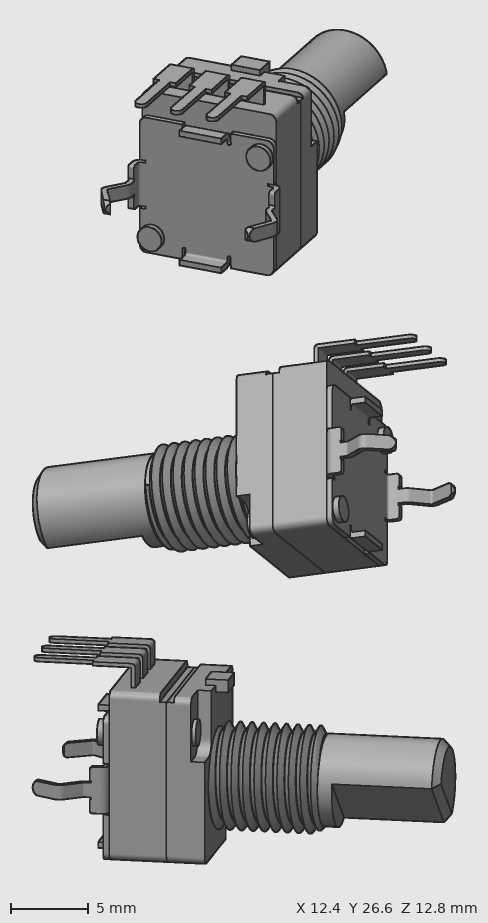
import cadquery as cq


overall_length = 26.6
overall_height = 12.8
clearance = 0.27

case_width = 9.5
case_bottom = -4.85
case_corner = 0.48
split_y = -2.5
case_back = -6.25
front_top = 6.17
rear_top = 6.35
groove_floor = 5.85
groove_front = -2.02
groove_back = -2.95

sheet = 0.4
plate_size = case_width
plate_z = case_bottom + plate_size / 2
plate_back = case_back - sheet
bend_radius = 0.36
slot_offset = 1.6
slot_width = 0.25
slot_depth = 0.82
lug_width = 2 * slot_offset - slot_width
lug_end = -7.6
rivet_radius = 0.85
rivet_height = 0.43
rivet_x = 3.85
rivet_dz = 3.56

leg_width = 3.09
leg_shoulder = -7.45
leg_shoulder_round = 0.19
leg_relief_radius = 0.08
leg_outer_x = 5.2
leg_x = leg_outer_x - sheet / 2
leg_knee_y = -7.93
leg_elbow_x = 6.06
leg_elbow_y = -9.28
leg_tip_x = 4.95
leg_tip_y = -11.15
leg_strip = 0.95
leg_end = -11.2
leg_round = 0.35
leg_notch_offset = 1.62
leg_notch_width = 0.15
leg_notch_depth = 0.4

pin_pitch = 2.53
pin_count = 3
pin_sheet = 0.27
pin_top = case_bottom + overall_height
pin_stem_y = -4.95
pin_bend = 0.15
pin_shoulder = -7.6
pin_end = -11.57
pin_wide = 1.6
pin_narrow = 0.8

key_width = 2.02
key_front = 0.82
key_back = -0.66
key_bottom = 5.75
key_top = 6.57
recess_depth = 0.9
recess_x = 2.45
recess_z = -2.18
recess_round = 1.0
stake_radius = 0.88
stake_height = 0.27
stake_x = 3.65
stake_dz = 3.75

bushing_length = 7.05
thread_crest = 3.5
thread_root = 2.95
thread_root_sink = 0.03
thread_base = 0.75
crest_run = 6.0
crest_turns = 8
thread_pitch = crest_run / crest_turns
crest_y = 0.37
thread_spare = 2
bushing_end_radius = 3.03

shaft_radius = 3.0
shaft_tip = pin_end + overall_length
shaft_chamfer = 0.5
flat_distance = 1.44
flat_angle = -52
flat_start = 7.98
journal_radius = 2.0


def box(x0, x1, y0, y1, z0, z1):
    return cq.Workplane("XY").box(x1 - x0, y1 - y0, z1 - z0, centered=False).translate((x0, y0, z0))


def rounded_block(y0, y1, z0, z1):
    """A block of the case's width with its four edges along Y rounded."""
    half = case_width / 2
    return box(-half, half, y0, y1, z0, z1).edges("|Y").fillet(case_corner)


def cylinder_y(radius, y0, y1, x=0, z=0):
    return cq.Workplane(cq.Solid.makeCylinder(radius, y1 - y0, cq.Vector(x, y0, z), cq.Vector(0, 1, 0)))


def strip_along(points, radius, thickness, width):
    """Sheet-metal strip bent along the middle-line points, which lie in a plane across its width."""
    path = cq.Wire.makePolygon([cq.Vector(*p) for p in points]).fillet(radius)
    start = cq.Vector(*points[0])
    along = cq.Vector(*points[1]) - start
    across = along.cross(cq.Vector(*points[2]) - start)
    section = cq.Workplane(cq.Plane(start, across, along)).rect(width, thickness)
    return section.sweep(cq.Workplane(path))


def make_thread():
    """Right-handed V ridge, bounded by helical faces between its two root edges and its crest."""
    length = (crest_turns + thread_spare + 1) * thread_pitch
    root = thread_root - thread_root_sink
    lower = cq.Wire.makeHelix(thread_pitch, length, root)
    crest = cq.Wire.makeHelix(thread_pitch, length, thread_crest)
    crest = crest.translate(cq.Vector(0, 0, thread_base / 2))
    upper = lower.translate(cq.Vector(0, 0, thread_base))
    loops = [(lower, crest), (crest, upper), (upper, lower)]
    faces = [cq.Face.makeRuledSurface(first, second) for first, second in loops]
    for z in (0, length):
        corners = [(root, 0, z), (thread_crest, 0, z + thread_base / 2), (root, 0, z + thread_base)]
        outline = cq.Wire.makePolygon([cq.Vector(*c) for c in corners], close=True)
        faces.append(cq.Face.makeFromWires(outline))
    ridge = cq.Workplane(cq.Solid.makeSolid(cq.Shell.makeShell(faces)))
    ridge = ridge.rotate((0, 0, 0), (0, 0, 1), 180).rotate((0, 0, 0), (1, 0, 0), -90)
    return ridge.translate((0, crest_y - thread_spare * thread_pitch - thread_base / 2, 0))


def make_bushing():
    """Solid threaded bushing with a chamfered end."""
    spare = (thread_spare + 1) * thread_pitch
    core = cylinder_y(thread_root, -spare, bushing_length + spare)
    envelope_radius = thread_crest + clearance
    envelope = cylinder_y(envelope_radius, 0, bushing_length)
    envelope = envelope.faces(">Y").chamfer(envelope_radius - bushing_end_radius)
    return core.union(make_thread()).intersect(envelope)


def corner_recess():
    """Recess at the (+X, +Z) corner of the mounting face, with a staked stud end left in it."""
    top_z = 2 * plate_z - recess_z
    far = case_width
    pocket = box(recess_x, far, -recess_depth, clearance, top_z, top_z + far)
    pocket = pocket.edges("|Y and <X and <Z").fillet(recess_round)
    stud = cylinder_y(stake_radius, -recess_depth, stake_height - recess_depth, stake_x, plate_z + stake_dz)
    return pocket.cut(stud)


def make_front_housing():
    """Front half of the case with its locating key, corner recesses and bored bushing."""
    body = rounded_block(split_y, 0, case_bottom, front_top)
    body = body.cut(box(-case_width, case_width, split_y, groove_front, groove_floor, front_top))
    for angle in (0, 180):
        body = body.cut(corner_recess().rotate((0, 0, plate_z), (0, 1, plate_z), angle))
    body = body.union(box(-key_width / 2, key_width / 2, key_back, key_front, key_bottom, key_top))
    body = body.union(make_bushing())
    return body.cut(cylinder_y(journal_radius, split_y, bushing_length))


def make_shaft():
    """D-shaped grip on a thinner journal that fills the bore of the front housing."""
    grip = cylinder_y(shaft_radius, bushing_length, shaft_tip)
    far = 2 * shaft_radius
    flat = box(flat_distance, far, flat_start, shaft_tip + clearance, -far, far)
    flat = flat.rotate((0, 0, 0), (0, 1, 0), -flat_angle)
    grip = grip.cut(flat).faces(">Y").chamfer(shaft_chamfer)
    return grip.union(cylinder_y(journal_radius, split_y, bushing_length))


def make_terminal(x):
    """L-shaped pin, wide up to its shoulder and narrow with a round end beyond it."""
    arm_z = pin_top - pin_sheet / 2
    points = [(x, pin_stem_y, groove_floor), (x, pin_stem_y, arm_z), (x, pin_end, arm_z)]
    strip = strip_along(points, pin_bend, pin_sheet, pin_wide)
    half = pin_narrow / 2
    blank = (
        cq.Workplane("XY")
        .moveTo(x - half, pin_shoulder)
        .lineTo(x - half, pin_end + half)
        .threePointArc((x, pin_end), (x + half, pin_end + half))
        .lineTo(x + half, pin_shoulder)
        .lineTo(x + pin_wide, pin_shoulder)
        .lineTo(x + pin_wide, 0)
        .lineTo(x - pin_wide, 0)
        .lineTo(x - pin_wide, pin_shoulder)
        .close()
        .extrude(2 * pin_top)
    )
    return strip.intersect(blank)


def make_rear_body():
    body = rounded_block(case_back, split_y, case_bottom, rear_top)
    body = body.cut(box(-case_width, case_width, groove_back, split_y, groove_floor, rear_top))
    for i in range(pin_count):
        body = body.union(make_terminal((i - (pin_count - 1) / 2) * pin_pitch))
    return body


def plate_slot():
    """Slot with a round end, cut from the top edge of the plate, at X = 0 and plate centre Z = 0."""
    radius = slot_width / 2
    top = plate_size / 2
    slot = box(-radius, radius, plate_back, case_back, top - slot_depth + radius, top)
    return slot.union(cylinder_y(radius, plate_back, case_back, 0, top - slot_depth + radius))


def make_lug():
    """Lug bent back from the top edge of the plate, with plate centre at Z = 0."""
    mid_y = (case_back + plate_back) / 2
    mid_z = (plate_size - sheet) / 2
    points = [(0, mid_y, plate_size / 2 - slot_depth), (0, mid_y, mid_z), (0, lug_end, mid_z)]
    return strip_along(points, bend_radius, sheet, lug_width)


def make_leg():
    """Snap-in leg on the +X side of the plate, with plate centre at Z = 0."""
    mid_y = (case_back + plate_back) / 2
    points = [
        (plate_size / 2 - leg_notch_depth, mid_y, 0),
        (leg_x, mid_y, 0),
        (leg_x, leg_knee_y, 0),
        (leg_elbow_x, leg_elbow_y, 0),
        (leg_tip_x, leg_tip_y, 0),
    ]
    strip = strip_along(points, bend_radius, sheet, leg_width)
    half = leg_strip / 2
    shoulder = box(0, leg_outer_x, leg_shoulder, case_back, -leg_width / 2, leg_width / 2)
    shoulder = shoulder.edges("|X and <Y").fillet(leg_shoulder_round)
    tongue = (
        cq.Workplane("YZ")
        .moveTo(case_back, -half)
        .lineTo(leg_end + leg_round, -half)
        .threePointArc((leg_end, 0), (leg_end + leg_round, half))
        .lineTo(case_back, half)
        .close()
        .extrude(2 * leg_outer_x)
    )
    blank = shoulder.union(tongue)
    for z in (-half - leg_relief_radius, half + leg_relief_radius):
        relief = cq.Workplane("YZ").center(leg_shoulder, z).circle(leg_relief_radius).extrude(leg_outer_x)
        blank = blank.cut(relief)
    return strip.intersect(blank)


def make_cover_plate():
    half = plate_size / 2
    y_axis = ((0, 0, 0), (0, 1, 0))
    plate = rounded_block(plate_back, case_back, -half, half)
    for angle in (0, 180):
        lug_blank = box(-slot_offset, slot_offset, plate_back, case_back, half - slot_depth / 2, half)
        plate = plate.cut(lug_blank.rotate(*y_axis, angle))
        plate = plate.union(make_lug().rotate(*y_axis, angle))
        for x in (-slot_offset, slot_offset):
            plate = plate.cut(plate_slot().translate((x, 0, 0)).rotate(*y_axis, angle))
        leg_edge = half - leg_notch_depth
        leg_blank = box(leg_edge, half, plate_back, case_back, -leg_width / 2, leg_width / 2)
        plate = plate.cut(leg_blank.rotate(*y_axis, angle))
        plate = plate.union(make_leg().rotate(*y_axis, angle))
        for z in (-leg_notch_offset, leg_notch_offset):
            notch_bottom = z - leg_notch_width / 2
            notch = box(leg_edge, half, plate_back, case_back, notch_bottom, notch_bottom + leg_notch_width)
            plate = plate.cut(notch.rotate(*y_axis, angle))
        rivet = cylinder_y(rivet_radius, plate_back - rivet_height, plate_back, rivet_x, rivet_dz)
        plate = plate.union(rivet.rotate(*y_axis, angle))
    return plate.translate((0, 0, plate_z))


front_housing = make_front_housing().solids()
shaft = make_shaft().solids()
rear_body = make_rear_body().solids()
cover_plate = make_cover_plate().solids()
result = cq.Compound.makeCompound([front_housing.val(), shaft.val(), rear_body.val(), cover_plate.val()])